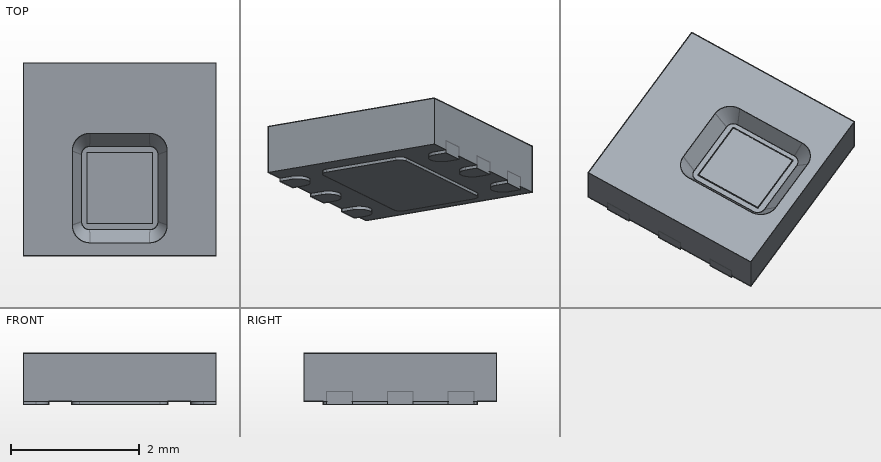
import cadquery as cq

body_size = 3.0
body_height = 0.75
pad_thickness = 0.05
body_top = pad_thickness + body_height

cavity_y = -0.447
cavity_depth = 0.237
cavity_rim_x = 1.475
cavity_rim_y = 1.705
cavity_rim_radius = 0.275
cavity_floor_x = 1.188
cavity_floor_y = 1.295
cavity_floor_radius = 0.125
die_x = 1.015
die_y = 1.1
die_thickness = 0.025

terminal_count = 3
terminal_pitch = 0.945
terminal_width = 0.4
terminal_length = terminal_width
terminal_side_height = 0.2
terminal_wall = 0.03

thermal_pad_x = 1.5
thermal_pad_y = 2.4
thermal_pad_radius = 0.125


def rounded_rectangle(size_x, size_y, radius):
    """Sketch of a rectangle with rounded corners."""
    return cq.Sketch().rect(size_x, size_y).vertices().fillet(radius)


def make_cavity():
    """Cutter narrowing from the rim to the floor."""
    rim = rounded_rectangle(cavity_rim_x, cavity_rim_y, cavity_rim_radius)
    floor = rounded_rectangle(cavity_floor_x, cavity_floor_y, cavity_floor_radius)
    return (
        cq.Workplane("XY", origin=(0, cavity_y, body_top))
        .placeSketch(rim, floor.moved(cq.Location(cq.Vector(0, 0, -cavity_depth))))
        .loft()
    )


def make_terminal(side, y):
    """Pad with a round inner end and a plated wall flush with the body side."""
    edge_x = side * body_size / 2
    radius = terminal_width / 2
    arc_start_x = edge_x - side * (terminal_length - radius)
    pad = (
        cq.Workplane("XY")
        .moveTo(edge_x, y - radius)
        .lineTo(arc_start_x, y - radius)
        .threePointArc((edge_x - side * terminal_length, y), (arc_start_x, y + radius))
        .lineTo(edge_x, y + radius)
        .close()
        .extrude(pad_thickness)
    )
    wall = cq.Workplane("XY", origin=(edge_x - side * terminal_wall / 2, y, 0)).box(
        terminal_wall, terminal_width, terminal_side_height, centered=(True, True, False)
    )
    return pad.union(wall)


body = cq.Workplane("XY", origin=(0, 0, pad_thickness)).box(
    body_size, body_size, body_height, centered=(True, True, False)
)
body = body.cut(make_cavity())

die = cq.Workplane("XY", origin=(0, cavity_y, body_top - cavity_depth)).box(
    die_x, die_y, die_thickness, centered=(True, True, False)
)

thermal_pad = (
    cq.Workplane("XY")
    .placeSketch(rounded_rectangle(thermal_pad_x, thermal_pad_y, thermal_pad_radius))
    .extrude(pad_thickness)
)

result = body.union(die).union(thermal_pad)

for side in (-1, 1):
    for index in range(terminal_count):
        y = (index - (terminal_count - 1) / 2) * terminal_pitch
        terminal = make_terminal(side, y)
        result = result.cut(terminal, clean=False).union(terminal, clean=False)